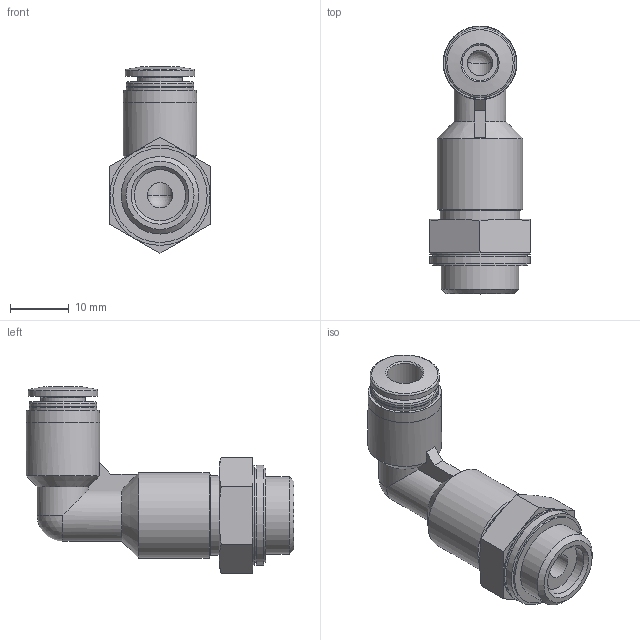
import cadquery as cq
import math


TUBE_R = 8.77 / 2
BORE_R = 4.3 / 2

SOCKET_R = 12.5 / 2
SOCKET_BOTTOM = 6.68
CAP_BOTTOM = 15.78
SOCKET_TOP = 17.8
CAP_TOP_R = 6.2
COLLAR_R = 11.5 / 2
COLLAR_TOP = 19.28
COLLAR_CHAMFER_R = 0.15
COLLAR_CHAMFER_H = 0.35
COLLAR_GROOVE_Z = 18.35
COLLAR_GROOVE_WIDTH = 0.15
COLLAR_GROOVE_DEPTH = 0.1
NECK_R = 7.5 / 2
NECK_CHAMFER = 0.2
FLANGE_R = 11.8 / 2
FLANGE_BOTTOM = 20.19
FLANGE_RIM = 21.4
FLANGE_FILLET = 0.28
PORT_TOP = 21.795
TUBE_HOLE_R = 6 / 2
TUBE_HOLE_MOUTH_R = 3.25
TUBE_HOLE_FLOOR = SOCKET_BOTTOM

BARREL_R = 14.5 / 2
BARREL_START = 12.83
BARREL_END = 24.8
BARREL_STEP_R = 13.75 / 2
BARREL_STEP_END = 25.0
SHANK_R = 13.5 / 2
HEX_START = 26.5
HEX_END = 32.2
HEX_FLATS = 17.0
HEX_CHAMFER_ANGLE = 15
WASHER_R = 17.0 / 2
WASHER_GROOVE_R = 16.0 / 2
WASHER_LIP_END = 32.45
WASHER_START = 32.8
WASHER_END = 34.1
SEAL_END = 34.4
THREAD_R = 13.16 / 2
THREAD_END = 39.2
THREAD_CHAMFER = 0.8
RECESS_R = 8.7 / 2
RECESS_DEPTH = 2.2
RECESS_CHAMFER = 0.55

RIB_WIDTH = 2.0
RIB_TOP = 7.0
RIB_SLOPE_START = 8.1


def turned_on_z(outline):
    """Solid of revolution about Z from a closed (radius, height) outline."""
    return outline.close().revolve(360, (0, 0, 0), (0, 1, 0))


def turned_on_y(points):
    """Solid of revolution about -Y from (radius, distance) corners."""
    corners = [(radius, -distance) for radius, distance in points]
    return cq.Workplane("XY").polyline(corners).close().revolve(360, (0, 0, 0), (0, 1, 0))


def pipe_bend(radius, rise, run):
    """Two cylinders meeting in a mitre, rounded by a ball at the origin."""
    ball = cq.Workplane("XY").sphere(radius)
    upright = cq.Workplane("XY").circle(radius).extrude(rise)
    level = cq.Workplane("XZ").circle(radius).extrude(run)
    return ball.union(upright).union(level)


def socket():
    """Main sleeve of the tube port, coned down to the elbow tube, with its slightly tapered cap."""
    cone_bottom = SOCKET_BOTTOM - (SOCKET_R - TUBE_R)
    sleeve = (
        cq.Workplane("XZ")
        .moveTo(0, cone_bottom)
        .lineTo(TUBE_R, cone_bottom)
        .lineTo(SOCKET_R, SOCKET_BOTTOM)
        .lineTo(SOCKET_R, CAP_BOTTOM)
        .lineTo(CAP_TOP_R, SOCKET_TOP)
        .lineTo(0, SOCKET_TOP)
    )
    return turned_on_z(sleeve)


def release_button():
    """Collar, neck and push flange above the socket."""
    groove_top = COLLAR_GROOVE_Z + COLLAR_GROOVE_WIDTH
    groove_r = COLLAR_R - COLLAR_GROOVE_DEPTH
    fillet_mid = FLANGE_FILLET * (1 - math.sqrt(0.5))
    button = (
        cq.Workplane("XZ")
        .moveTo(0, SOCKET_TOP)
        .lineTo(COLLAR_R, SOCKET_TOP)
        .lineTo(COLLAR_R, COLLAR_GROOVE_Z)
        .lineTo(groove_r, COLLAR_GROOVE_Z)
        .lineTo(groove_r, groove_top)
        .lineTo(COLLAR_R, groove_top)
        .lineTo(COLLAR_R, COLLAR_TOP - COLLAR_CHAMFER_H)
        .lineTo(COLLAR_R - COLLAR_CHAMFER_R, COLLAR_TOP)
        .lineTo(NECK_R, COLLAR_TOP)
        .lineTo(NECK_R, FLANGE_BOTTOM - NECK_CHAMFER)
        .lineTo(NECK_R + NECK_CHAMFER, FLANGE_BOTTOM)
        .lineTo(FLANGE_R, FLANGE_BOTTOM)
        .lineTo(FLANGE_R, FLANGE_RIM - FLANGE_FILLET)
        .threePointArc(
            (FLANGE_R - fillet_mid, FLANGE_RIM - fillet_mid),
            (FLANGE_R - FLANGE_FILLET, FLANGE_RIM),
        )
        .lineTo(TUBE_HOLE_MOUTH_R, PORT_TOP)
        .lineTo(0, PORT_TOP)
    )
    return turned_on_z(button)


def barrel():
    """Coned barrel and shank leading to the hexagon."""
    cone_start = BARREL_START - (BARREL_R - TUBE_R)
    return turned_on_y([
        (0, cone_start),
        (TUBE_R, cone_start),
        (BARREL_R, BARREL_START),
        (BARREL_R, BARREL_END),
        (BARREL_STEP_R, BARREL_STEP_END),
        (SHANK_R, BARREL_STEP_END),
        (SHANK_R, HEX_START),
        (0, HEX_START),
    ])


def hexagon():
    """Wrench hexagon with corners on +Z and -Z, chamfered on the barrel side."""
    corner_r = HEX_FLATS / math.sqrt(3)
    chamfer_h = (corner_r - HEX_FLATS / 2) * math.tan(math.radians(HEX_CHAMFER_ANGLE))
    prism = (
        cq.Workplane("XZ", origin=(0, -HEX_START, 0))
        .transformed(rotate=(0, 0, 90))
        .polygon(6, 2 * corner_r)
        .extrude(HEX_END - HEX_START)
    )
    envelope = turned_on_y([
        (0, HEX_START),
        (HEX_FLATS / 2, HEX_START),
        (corner_r, HEX_START + chamfer_h),
        (corner_r, HEX_END),
        (0, HEX_END),
    ])
    return prism.intersect(envelope)


def thread_end():
    """Lip, sealing washer and plain thread cylinder in front of the hexagon."""
    return turned_on_y([
        (0, HEX_END),
        (WASHER_R, HEX_END),
        (WASHER_R, WASHER_LIP_END),
        (WASHER_GROOVE_R, WASHER_LIP_END),
        (WASHER_GROOVE_R, WASHER_START),
        (WASHER_R, WASHER_START),
        (WASHER_R, WASHER_END),
        (WASHER_GROOVE_R, WASHER_END),
        (WASHER_GROOVE_R, SEAL_END),
        (THREAD_R, SEAL_END),
        (THREAD_R, THREAD_END - THREAD_CHAMFER),
        (THREAD_R - THREAD_CHAMFER, THREAD_END),
        (0, THREAD_END),
    ])


def rib():
    """Web between socket and barrel, sloped at 45 degrees up to the socket wall."""
    slope_rise = RIB_SLOPE_START - TUBE_R
    return (
        cq.Workplane("YZ")
        .moveTo(0, 0)
        .lineTo(-BARREL_START, 0)
        .lineTo(-BARREL_START, RIB_TOP)
        .lineTo(-RIB_SLOPE_START, RIB_TOP)
        .lineTo(-TUBE_R, RIB_TOP + slope_rise)
        .lineTo(0, RIB_TOP + slope_rise)
        .close()
        .extrude(RIB_WIDTH / 2, both=True)
    )


def flow_passage():
    """Bent bore with the tube hole on top and the chamfered recess in the thread."""
    bore = pipe_bend(BORE_R, TUBE_HOLE_FLOOR, THREAD_END)
    mouth_chamfer = TUBE_HOLE_MOUTH_R - TUBE_HOLE_R
    tube_hole = turned_on_z(
        cq.Workplane("XZ")
        .moveTo(0, TUBE_HOLE_FLOOR)
        .lineTo(TUBE_HOLE_R, TUBE_HOLE_FLOOR)
        .lineTo(TUBE_HOLE_R, PORT_TOP - mouth_chamfer)
        .lineTo(TUBE_HOLE_MOUTH_R, PORT_TOP)
        .lineTo(0, PORT_TOP)
    )
    recess = turned_on_y([
        (0, THREAD_END - RECESS_DEPTH),
        (RECESS_R, THREAD_END - RECESS_DEPTH),
        (RECESS_R, THREAD_END - RECESS_CHAMFER),
        (RECESS_R + RECESS_CHAMFER, THREAD_END),
        (0, THREAD_END),
    ])
    return bore.union(tube_hole).union(recess)


body = pipe_bend(TUBE_R, SOCKET_BOTTOM, BARREL_START)
for portion in (socket(), release_button(), barrel(), hexagon(), thread_end(), rib()):
    body = body.union(portion)

result = body.cut(flow_passage())